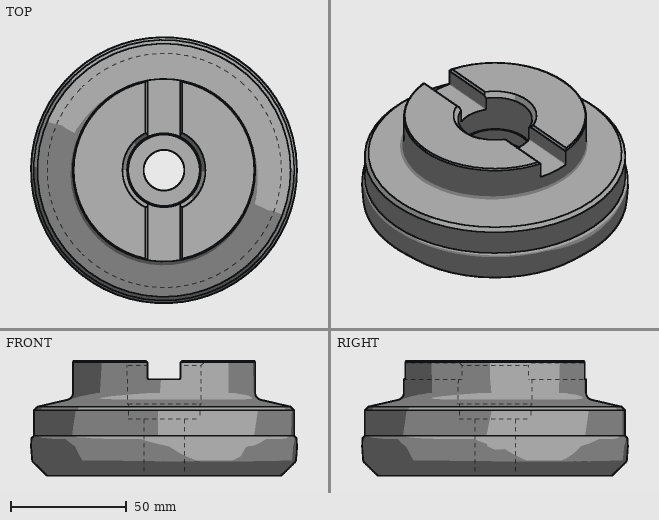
import cadquery as cq
import math

TOTAL_HEIGHT = 49.9
HOLE_DIAMETER = 17.5

RING_RADIUS = 57.6
RING_HEIGHT = 17.3
RING_BOTTOM_RADIUS = 50.7
BEVEL_TOP_RADIUS = 57.0
BEVEL_HEIGHT = 6.2
BULGE_Z = 12.0
SHOULDER_RADIUS = 57.4
SHOULDER_Z = 16.4
RING_EDGE_FILLET = 1.4

RIM_RADIUS = 112.8 / 2
RIM_TOP = 30.0
RIM_CHAMFER = 1.6
NECK_RADIUS = 79.0 / 2
SHOULDER_ANGLE = 13.0
NECK_FILLET = 3.0
NECK_CHAMFER_WIDTH = 0.5
NECK_CHAMFER_HEIGHT = 0.8

BORE_RADIUS = 32.0 / 2
LOWER_BORE_RADIUS = 15.4
BORE_STEP_Z = 31.2
BORE_FLOOR_Z = 24.8
BORE_CHAMFER = 2.0

SLOT_WIDTH = 14.2
SLOT_DEPTH = 8.1
SLOT_TOP_CHAMFER = 0.9
SLOT_CORNER_RADIUS = 0.7


def revolve_profile(profile):
    """Turn a closed (radius, height) profile around the Z axis."""
    return profile.close().revolve(360, (0, 0, 0), (0, 1, 0))


def through_hole():
    return cq.Workplane("XY").circle(HOLE_DIAMETER / 2).extrude(TOTAL_HEIGHT)


def make_ring():
    """Bevelled disc with a slightly bulging side and rounded side edges."""
    profile = (
        cq.Workplane("XZ")
        .lineTo(RING_BOTTOM_RADIUS, 0)
        .lineTo(BEVEL_TOP_RADIUS, BEVEL_HEIGHT)
        .threePointArc((RING_RADIUS, BULGE_Z), (SHOULDER_RADIUS, SHOULDER_Z))
        .lineTo(RIM_RADIUS, RING_HEIGHT)
        .lineTo(0, RING_HEIGHT)
    )
    side_edges = cq.selectors.BoxSelector(
        (-2 * RING_RADIUS, -2 * RING_RADIUS, BEVEL_HEIGHT / 2),
        (2 * RING_RADIUS, 2 * RING_RADIUS, (SHOULDER_Z + RING_HEIGHT) / 2),
        boundingbox=True,
    )
    disc = revolve_profile(profile).edges(side_edges).edges("%CIRCLE").fillet(RING_EDGE_FILLET)
    return disc.cut(through_hole())


def make_outer_form():
    """Rim and neck joined by a sloping shoulder with a fillet at its root."""
    slope = math.radians(SHOULDER_ANGLE)
    slope_radius = RIM_RADIUS - RIM_CHAMFER
    root_z = RIM_TOP + (slope_radius - NECK_RADIUS) * math.tan(slope)

    turn = math.pi / 2 - slope
    tangent_length = NECK_FILLET * math.tan(turn / 2)
    fillet_center = (NECK_RADIUS + NECK_FILLET, root_z + tangent_length)
    middle_angle = math.pi + turn / 2
    fillet_middle = (
        fillet_center[0] + NECK_FILLET * math.cos(middle_angle),
        fillet_center[1] + NECK_FILLET * math.sin(middle_angle),
    )
    slope_start = (
        NECK_RADIUS + tangent_length * math.cos(slope),
        root_z - tangent_length * math.sin(slope),
    )
    profile = (
        cq.Workplane("XZ")
        .moveTo(0, RING_HEIGHT)
        .lineTo(RIM_RADIUS, RING_HEIGHT)
        .lineTo(RIM_RADIUS, RIM_TOP - RIM_CHAMFER)
        .lineTo(slope_radius, RIM_TOP)
        .lineTo(*slope_start)
        .threePointArc(fillet_middle, (NECK_RADIUS, fillet_center[1]))
        .lineTo(NECK_RADIUS, TOTAL_HEIGHT - NECK_CHAMFER_HEIGHT)
        .lineTo(NECK_RADIUS - NECK_CHAMFER_WIDTH, TOTAL_HEIGHT)
        .lineTo(0, TOTAL_HEIGHT)
    )
    return revolve_profile(profile)


def make_bore():
    """Blind two-step bore with a chamfered mouth."""
    profile = (
        cq.Workplane("XZ")
        .moveTo(0, BORE_FLOOR_Z)
        .lineTo(LOWER_BORE_RADIUS, BORE_FLOOR_Z)
        .lineTo(LOWER_BORE_RADIUS, BORE_STEP_Z)
        .lineTo(BORE_RADIUS, BORE_STEP_Z)
        .lineTo(BORE_RADIUS, TOTAL_HEIGHT - BORE_CHAMFER)
        .lineTo(BORE_RADIUS + BORE_CHAMFER, TOTAL_HEIGHT)
        .lineTo(0, TOTAL_HEIGHT)
    )
    return revolve_profile(profile)


def make_slot():
    """Slot with rounded floor corners and chamfered upper edges."""
    length = 2 * RIM_RADIUS
    half_width = SLOT_WIDTH / 2
    channel = (
        cq.Workplane("XY")
        .box(SLOT_WIDTH, length, SLOT_DEPTH, centered=(True, True, False))
        .translate((0, 0, TOTAL_HEIGHT - SLOT_DEPTH))
        .edges("|Y and <Z")
        .fillet(SLOT_CORNER_RADIUS)
    )
    mouth = (
        cq.Workplane("XZ")
        .moveTo(-half_width, TOTAL_HEIGHT - SLOT_TOP_CHAMFER)
        .lineTo(half_width, TOTAL_HEIGHT - SLOT_TOP_CHAMFER)
        .lineTo(half_width + SLOT_TOP_CHAMFER, TOTAL_HEIGHT)
        .lineTo(-half_width - SLOT_TOP_CHAMFER, TOTAL_HEIGHT)
        .close()
        .extrude(length / 2, both=True)
    )
    return channel.union(mouth)


def make_upper_body():
    return make_outer_form().cut(make_bore()).cut(make_slot()).cut(through_hole())


ring = make_ring()
upper_body = make_upper_body()

result = cq.Compound.makeCompound([ring.val(), upper_body.val()])